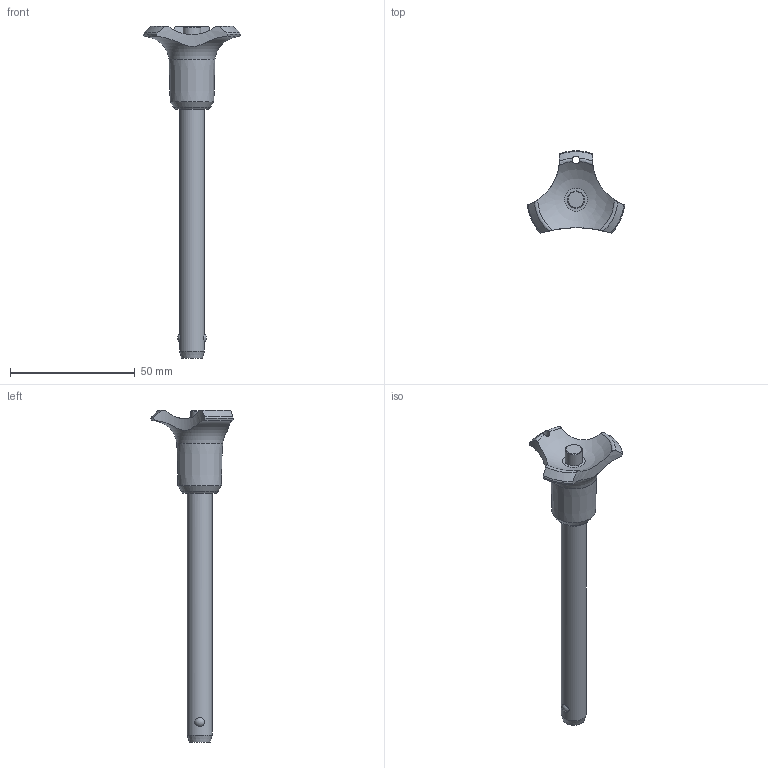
import cadquery as cq
import math

TOTAL_LENGTH = 132.9
HANDLE_HEIGHT = 33.4
SHANK_RADIUS = 5.0

TIP_RADIUS = 4.2
TIP_LENGTH = 2.8

BALL_RADIUS = 2.2
BALL_REACH = 5.8
BALL_TO_TIP = 8.0

SHOULDER_RADIUS = 6.7
BEVEL_RADIUS = 7.4
BEVEL_HEIGHT = 0.9
GRIP_LOWER_RADIUS = 8.75
GRIP_LOWER_HEIGHT = 3.15
GRIP_UPPER_RADIUS = 9.2
GRIP_UPPER_HEIGHT = 20.0

HEAD_RADIUS = 19.6
FLARE_MID_RADIUS = 12.1
FLARE_MID_DEPTH = 7.25
FLARE_END_RADIUS = 19.3
FLARE_END_DEPTH = 4.25
HEAD_EDGE_DEPTH = 3.4
CHAMFER_END_RADIUS = 19.3
CHAMFER_END_DEPTH = 2.75

CREST_OUTER_RADIUS = 16.7
CREST_INNER_RADIUS = 15.3
CREST_ROUND_HEIGHT = 0.25

BOWL_SPHERE_RADIUS = 21.5
BOWL_FLOOR_RADIUS = 4.6

BUTTON_RADIUS = 3.5
BUTTON_CHAMFER = 0.3
BUTTON_TOP_DEPTH = 0.4

BACK_LOBE_HALF_WIDTH = 6.75
HEAD_HALF_WIDTH = 19.485
FRONT_REACH = 13.4
CUT_DEPTH_RADIUS = 11.25

LANYARD_DIAMETER = 3.0
LANYARD_OFFSET = 15.9

TIP_Z = HANDLE_HEIGHT - TOTAL_LENGTH
CREST_EDGE_Z = HANDLE_HEIGHT - CREST_ROUND_HEIGHT
BOWL_CENTER_Z = CREST_EDGE_Z + math.sqrt(BOWL_SPHERE_RADIUS**2 - CREST_INNER_RADIUS**2)


def bowl_point(radius):
    """Profile point of the spherical bowl at a distance from the axis."""
    return radius, BOWL_CENTER_Z - math.sqrt(BOWL_SPHERE_RADIUS**2 - radius**2)


def rim_point(x=None, y=None):
    """Point on the head's outer circle with one coordinate given, the other positive."""
    if y is None:
        return x, math.sqrt(HEAD_RADIUS**2 - x**2)
    return math.sqrt(HEAD_RADIUS**2 - y**2), y


def mirrored(point):
    return -point[0], point[1]


def revolve_profile(profile):
    return profile.close().revolve(360, (0, 0, 0), (0, 1, 0))


def make_shank():
    """Cylindrical shank with a tapered tip, running up into the grip."""
    profile = (
        cq.Workplane("XZ")
        .moveTo(0, TIP_Z)
        .lineTo(TIP_RADIUS, TIP_Z)
        .lineTo(SHANK_RADIUS, TIP_Z + TIP_LENGTH)
        .lineTo(SHANK_RADIUS, BEVEL_HEIGHT)
        .lineTo(0, BEVEL_HEIGHT)
    )
    return revolve_profile(profile)


def make_balls():
    """Two locking balls on opposite sides of the shank."""
    offset = BALL_REACH - BALL_RADIUS
    ball_z = TIP_Z + BALL_TO_TIP
    centers = [(-offset, 0, ball_z), (offset, 0, ball_z)]
    return cq.Workplane("XY").pushPoints(centers).sphere(BALL_RADIUS)


def make_round_handle():
    """Grip, flared head and bowl as one body of revolution."""
    bowl_floor = bowl_point(BOWL_FLOOR_RADIUS)
    bowl_middle = bowl_point((BOWL_FLOOR_RADIUS + CREST_INNER_RADIUS) / 2)
    crest_middle = ((CREST_OUTER_RADIUS + CREST_INNER_RADIUS) / 2, HANDLE_HEIGHT)
    profile = (
        cq.Workplane("XZ")
        .moveTo(0, 0)
        .lineTo(SHOULDER_RADIUS, 0)
        .lineTo(BEVEL_RADIUS, BEVEL_HEIGHT)
        .lineTo(GRIP_LOWER_RADIUS, GRIP_LOWER_HEIGHT)
        .lineTo(GRIP_UPPER_RADIUS, GRIP_UPPER_HEIGHT)
        .threePointArc(
            (FLARE_MID_RADIUS, HANDLE_HEIGHT - FLARE_MID_DEPTH),
            (FLARE_END_RADIUS, HANDLE_HEIGHT - FLARE_END_DEPTH),
        )
        .lineTo(HEAD_RADIUS, HANDLE_HEIGHT - HEAD_EDGE_DEPTH)
        .lineTo(CHAMFER_END_RADIUS, HANDLE_HEIGHT - CHAMFER_END_DEPTH)
        .lineTo(CREST_OUTER_RADIUS, CREST_EDGE_Z)
        .threePointArc(crest_middle, (CREST_INNER_RADIUS, CREST_EDGE_Z))
        .threePointArc(bowl_middle, bowl_floor)
        .lineTo(0, bowl_floor[1])
    )
    return revolve_profile(profile)


def make_lobe_outline():
    """Prism with three lobes whose sides are the concave finger cuts."""
    back = rim_point(x=BACK_LOBE_HALF_WIDTH)
    side_y = -math.sqrt(HEAD_RADIUS**2 - HEAD_HALF_WIDTH**2)
    side = (HEAD_HALF_WIDTH, side_y)
    front = rim_point(y=-FRONT_REACH)
    lobe_angle = (math.atan2(side[1], side[0]) + math.atan2(front[1], front[0])) / 2
    lobe_end = (HEAD_RADIUS * math.cos(lobe_angle), HEAD_RADIUS * math.sin(lobe_angle))
    cut_angle = (math.atan2(back[1], back[0]) + math.atan2(side[1], side[0])) / 2
    cut_middle = (CUT_DEPTH_RADIUS * math.cos(cut_angle), CUT_DEPTH_RADIUS * math.sin(cut_angle))
    return (
        cq.Workplane("XY")
        .moveTo(*mirrored(back))
        .threePointArc((0, HEAD_RADIUS), back)
        .threePointArc(cut_middle, side)
        .threePointArc(lobe_end, front)
        .threePointArc((0, -CUT_DEPTH_RADIUS), mirrored(front))
        .threePointArc(mirrored(lobe_end), mirrored(side))
        .threePointArc(mirrored(cut_middle), mirrored(back))
        .close()
        .extrude(HANDLE_HEIGHT)
    )


def make_lanyard_hole():
    return cq.Workplane("XY").center(0, LANYARD_OFFSET).circle(LANYARD_DIAMETER / 2).extrude(HANDLE_HEIGHT)


def make_button():
    """Release button standing on the bowl floor, just below the rim."""
    floor_z = bowl_point(BOWL_FLOOR_RADIUS)[1]
    height = HANDLE_HEIGHT - BUTTON_TOP_DEPTH - floor_z
    button = cq.Workplane("XY").workplane(offset=floor_z).circle(BUTTON_RADIUS).extrude(height)
    return button.faces(">Z").chamfer(BUTTON_CHAMFER)


handle = make_round_handle().intersect(make_lobe_outline()).cut(make_lanyard_hole())
pin = make_shank().union(make_balls())
result = pin.union(handle).union(make_button())